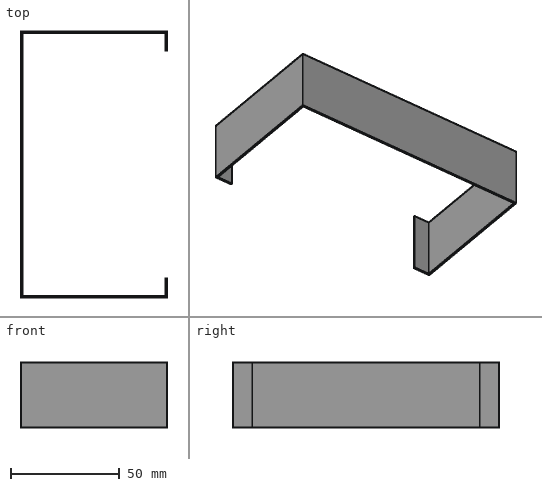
import cadquery as cq

depth = 67.33
width = 122.6
height = 30.0

thickness = 0.8
lip_length = 8.9

cavity_depth = depth - 2 * thickness
cavity_width = width - 2 * thickness
mouth_width = width - 2 * lip_length


def make_block(start_x, length_x, length_y):
    """Full-height block starting at start_x and centred on Y = 0."""
    block = cq.Workplane("XY").box(length_x, length_y, height, centered=(False, True, False))
    return block.translate((start_x, 0, 0))


def make_channel():
    """C-shaped strip with a lip turned inward at the end of each flange."""
    outer_block = make_block(0, depth, width)
    cavity = make_block(thickness, cavity_depth, cavity_width)
    mouth = make_block(thickness, depth, mouth_width)
    return outer_block.cut(cavity).cut(mouth)


result = make_channel()